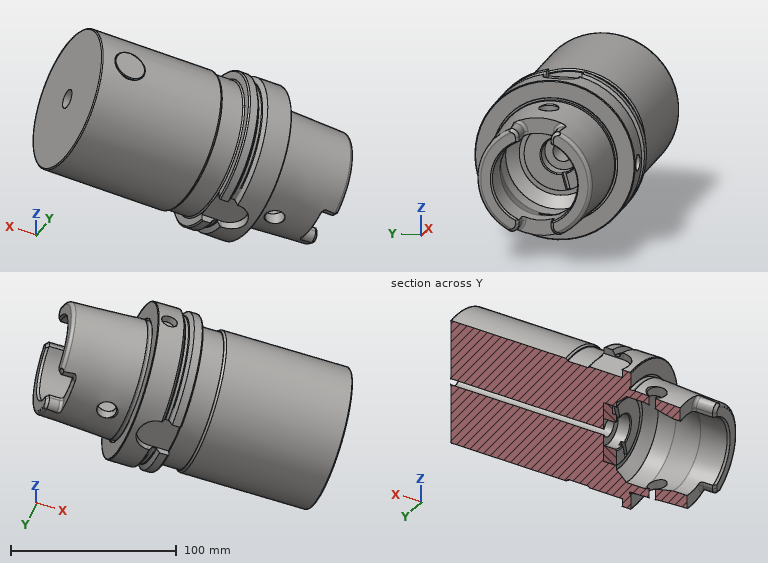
import cadquery as cq
import math

total_length = 176.9
mouth_fillet = 2.1

taper_mouth_radius = 35.5
taper_end = 47.4
taper_ratio = 1 / 20
taper_end_radius = taper_mouth_radius + taper_end * taper_ratio
relief_start = 48.3
relief_radius = 37.7

flange_start = 49.9
flange_end = 79.0
flange_diameter = 100.0
flange_radius = flange_diameter / 2
flange_front_chamfer = 0.5
flange_back_chamfer = 0.9
face_recess_radius = 39.1
face_recess_depth = 0.9
groove_start = 66.3
groove_end = 73.0
groove_depth = 3.5
groove_root_radius = flange_radius - groove_depth
groove_wall_angle = 30
groove_wall_run = groove_depth * math.tan(math.radians(groove_wall_angle))
groove_fillet = 0.7

neck_diameter = 86.9
neck_radius = neck_diameter / 2
neck_chamfer = 0.9
head_start = 94.3
head_radius = 45.0
head_front_chamfer = 0.9
head_front_length = 1.5
head_back_chamfer = 0.7

bore_radius = 26.5
bore_mouth_radius = bore_radius + 0.9
bore_mouth_length = 1.6
undercut_start = 20.2
undercut_full = 40.5
undercut_radius = 31.5
undercut_end = 53.0
bore_floor = 60.1
bore_floor_radius = 24.8
coolant_radius = 6.0

slot_half_width = 9.9
slot_round_start = 27.2
slot_round_radius = 5.1
shoulder_width = slot_half_width + slot_round_radius
shoulder_height = slot_round_start + slot_round_radius
slot_fillet = 2.0
slot_mouth_chamfer = 2.0
top_slot_depth = 15.2
bottom_slot_depth = 10.5

access_hole_x = 35.0
access_hole_radius = 6.0
access_hole_chamfer = 0.45

keyway_start = 54.7
keyway_half_width = 11.1
keyway_floor = 44.0

chip_hole_x = 57.1
chip_hole_radius = 5.0
chip_hole_depth = 4.6

ring_radius = 21.8
ring_bore_radius = 11.1
ring_bore_chamfer = 0.7
ring_length = 8.8
ring_slot_width = 2.7
ring_slot_depth = 2.7
ring_slot_angle = -15.5

screw_x = 157.6
screw_radius = 10.3
screw_length = 21.2
screw_chamfer = 0.5

clearance = 1.8


def revolve_about_x(profile):
    return profile.close().revolve(360, (0, 0, 0), (1, 0, 0))


def cylinder_along_x(start, length, radius):
    return cq.Workplane("YZ", origin=(start, 0, 0)).circle(radius).extrude(length)


def outer_body():
    """Turned outside of the holder: rounded taper, grooved flange, neck and head."""
    rounding = mouth_fillet * (1 - math.sqrt(0.5))
    profile = (
        cq.Workplane("XY")
        .lineTo(0, taper_mouth_radius - mouth_fillet)
        .threePointArc(
            (rounding, taper_mouth_radius - rounding),
            (mouth_fillet, taper_mouth_radius + mouth_fillet * taper_ratio),
        )
        .lineTo(taper_end, taper_end_radius)
        .lineTo(relief_start, relief_radius)
        .lineTo(flange_start + face_recess_depth, relief_radius)
        .lineTo(flange_start + face_recess_depth, face_recess_radius)
        .lineTo(flange_start, face_recess_radius)
        .lineTo(flange_start, flange_radius - flange_front_chamfer)
        .lineTo(flange_start + flange_front_chamfer, flange_radius)
        .lineTo(groove_start, flange_radius)
        .lineTo(groove_start + groove_wall_run, groove_root_radius)
        .lineTo(groove_end - groove_wall_run, groove_root_radius)
        .lineTo(groove_end, flange_radius)
        .lineTo(flange_end - flange_back_chamfer, flange_radius)
        .lineTo(flange_end, flange_radius - flange_back_chamfer)
        .lineTo(flange_end, neck_radius + neck_chamfer)
        .lineTo(flange_end + neck_chamfer, neck_radius)
        .lineTo(head_start, neck_radius)
        .lineTo(head_start, head_radius - head_front_chamfer)
        .lineTo(head_start + head_front_length, head_radius)
        .lineTo(total_length - head_back_chamfer, head_radius)
        .lineTo(total_length, head_radius - head_back_chamfer)
        .lineTo(total_length, 0)
    )
    body = revolve_about_x(profile)
    circles = body.edges("%CIRCLE").vals()
    groove_edges = [edge for edge in circles if abs(edge.radius() - groove_root_radius) < 0.02]
    return body.newObject(groove_edges).fillet(groove_fillet)


def hollow():
    """Bore that widens into an undercut and narrows again to its floor."""
    return revolve_about_x(
        cq.Workplane("XY")
        .lineTo(0, bore_radius)
        .lineTo(undercut_start, bore_radius)
        .lineTo(undercut_full, undercut_radius)
        .lineTo(undercut_end, undercut_radius)
        .lineTo(bore_floor, bore_floor_radius)
        .lineTo(bore_floor, 0)
    )


def bore_mouth():
    """Cone that chamfers the mouth of the bore."""
    return revolve_about_x(
        cq.Workplane("XY")
        .lineTo(0, bore_mouth_radius)
        .lineTo(bore_mouth_length, bore_radius)
        .lineTo(bore_mouth_length, 0)
    )


def drive_slot_outline(x):
    """Slot section at `x`: straight walls that round over into flat shoulders."""
    reach = 2 * taper_mouth_radius
    middle = slot_round_radius * math.sqrt(0.5)
    arc_y = shoulder_width - middle
    arc_z = slot_round_start + middle
    return (
        cq.Workplane("YZ", origin=(x, 0, 0))
        .moveTo(-slot_half_width, 0)
        .lineTo(slot_half_width, 0)
        .lineTo(slot_half_width, slot_round_start)
        .threePointArc((arc_y, arc_z), (shoulder_width, shoulder_height))
        .lineTo(reach, shoulder_height)
        .lineTo(reach, reach)
        .lineTo(-reach, reach)
        .lineTo(-reach, shoulder_height)
        .lineTo(-shoulder_width, shoulder_height)
        .threePointArc((-arc_y, arc_z), (-slot_half_width, slot_round_start))
        .close()
    )


def drive_slot(depth):
    """Slot cutter on the +Z wall, flared at the mouth and rounded along its floor."""
    side = 2 * taper_mouth_radius - clearance
    floor_edges = cq.selectors.BoxSelector(
        (depth - 0.2, -side, clearance),
        (depth + 0.2, side, shoulder_height + 0.2),
    )
    slot = drive_slot_outline(0).extrude(depth).edges(floor_edges).fillet(slot_fillet)
    flare = drive_slot_outline(slot_mouth_chamfer).extrude(-slot_mouth_chamfer, taper=-45)
    return slot.union(flare)


def keyway():
    """Round-ended flat keyway on the +Z side of the flange, open towards the neck."""
    centre = keyway_start + keyway_half_width
    return (
        cq.Workplane("XY", origin=(0, 0, keyway_floor))
        .moveTo(flange_end + clearance, -keyway_half_width)
        .lineTo(centre, -keyway_half_width)
        .threePointArc((keyway_start, 0), (centre, keyway_half_width))
        .lineTo(flange_end + clearance, keyway_half_width)
        .close()
        .extrude(flange_radius)
    )


def access_hole():
    """Hole along Z through both walls of the taper, with chamfered outer ends."""
    wall_radius = taper_mouth_radius + access_hole_x * taper_ratio
    hole = (
        cq.Workplane("XY", origin=(access_hole_x, 0, -flange_radius))
        .circle(access_hole_radius)
        .extrude(2 * flange_radius)
    )
    cone = (
        cq.Workplane("XY", origin=(access_hole_x, 0, wall_radius - access_hole_chamfer))
        .circle(access_hole_radius)
        .extrude(clearance, taper=-45)
    )
    return hole.union(cone).union(cone.mirror("XY"))


def chip_hole():
    return (
        cq.Workplane("XZ", origin=(chip_hole_x, chip_hole_depth - flange_radius, 0))
        .circle(chip_hole_radius)
        .extrude(flange_radius)
    )


def screw_hole():
    return (
        cq.Workplane("XZ", origin=(screw_x, head_radius + clearance, 0))
        .circle(screw_radius)
        .extrude(screw_length + clearance)
    )


def make_holder():
    body = outer_body().cut(hollow())
    body = body.cut(drive_slot(top_slot_depth))
    body = body.cut(drive_slot(bottom_slot_depth).mirror("XY"))
    body = body.cut(bore_mouth())
    body = body.cut(keyway()).cut(keyway().mirror("XY"))
    body = body.cut(access_hole()).cut(chip_hole())
    body = body.cut(cylinder_along_x(0, total_length, coolant_radius))
    body = body.cut(cylinder_along_x(bore_floor, ring_length, ring_radius))
    return body.cut(screw_hole())


def make_ring():
    """Ring set flush into the bore floor, with a slot across its face."""
    ring = cylinder_along_x(bore_floor, ring_length, ring_radius)
    ring = ring.cut(cylinder_along_x(bore_floor, ring_length, ring_bore_radius))
    bore_edge = ring.faces("<X").edges("%CIRCLE").edges(cq.selectors.RadiusNthSelector(0))
    ring = bore_edge.chamfer(ring_bore_chamfer)
    slot = (
        cq.Workplane("YZ", origin=(bore_floor, 0, 0))
        .rect(ring_slot_width, 2 * ring_radius)
        .extrude(ring_slot_depth)
        .rotate((0, 0, 0), (1, 0, 0), ring_slot_angle)
    )
    return ring.cut(slot)


def make_screw():
    """Plain screw that fills its hole, with a chamfered outer end."""
    return (
        cq.Workplane("XZ", origin=(screw_x, head_radius, 0))
        .circle(screw_radius)
        .extrude(screw_length)
        .faces(">Y")
        .chamfer(screw_chamfer)
    )


holder = make_holder()
ring = make_ring()
screw = make_screw()

result = cq.Compound.makeCompound([holder.val(), ring.val(), screw.val()])